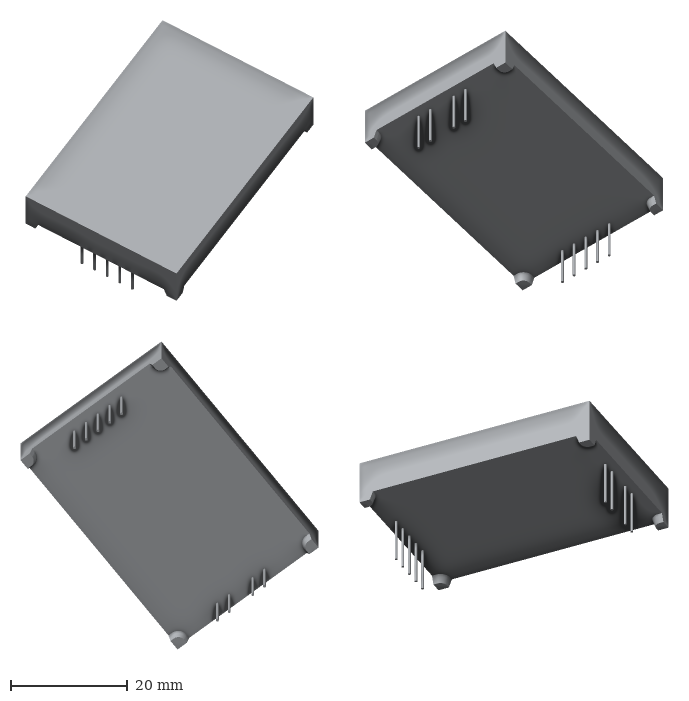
import cadquery as cq
import math

WIDTH = 30.6
LENGTH = 44.0
TOTAL_HEIGHT = 14.3

HOUSING_HEIGHT = 8.0
FOOT_HEIGHT = 1.5
FOOT_ROOT = 2.55
FOOT_TIP = 2.0
FOOT_TIP_RADIUS = 1.25
BLOCK_HEIGHT = HOUSING_HEIGHT - FOOT_HEIGHT

PIN_DIAMETER = 0.5
PIN_PITCH = 2.55
ROW_SPACING = 40.05
FRONT_ROW_PLACES = range(-2, 3)
BACK_ROW_PLACES = (-2, -1, 1, 2)


def make_foot(x_side, y_side):
    """Tapered foot with a rounded inner corner, centred on a housing corner before trimming."""
    taper_angle = math.degrees(math.atan2(FOOT_ROOT - FOOT_TIP, FOOT_HEIGHT))
    return (
        cq.Workplane("XY", origin=(x_side * WIDTH / 2, y_side * LENGTH / 2, -HOUSING_HEIGHT))
        .sketch()
        .rect(2 * FOOT_TIP, 2 * FOOT_TIP)
        .vertices()
        .fillet(FOOT_TIP_RADIUS)
        .finalize()
        .extrude(FOOT_HEIGHT, taper=-taper_angle)
    )


def make_housing():
    """Plain block standing on four corner feet, trimmed flush with its sides."""
    envelope = cq.Workplane("XY", origin=(0, 0, -HOUSING_HEIGHT)).rect(WIDTH, LENGTH).extrude(HOUSING_HEIGHT)
    housing = cq.Workplane("XY", origin=(0, 0, -BLOCK_HEIGHT)).rect(WIDTH, LENGTH).extrude(BLOCK_HEIGHT)
    for x_side in (-1, 1):
        for y_side in (-1, 1):
            foot = make_foot(x_side, y_side).intersect(envelope)
            housing = housing.union(foot)
    return housing


def make_pin(place, y_side):
    """Round pin hanging from the underside of the block."""
    pin_length = TOTAL_HEIGHT - BLOCK_HEIGHT
    return (
        cq.Workplane("XY", origin=(place * PIN_PITCH, y_side * ROW_SPACING / 2, -TOTAL_HEIGHT))
        .circle(PIN_DIAMETER / 2)
        .extrude(pin_length)
    )


housing = make_housing()
front_pins = [make_pin(place, -1).val() for place in FRONT_ROW_PLACES]
back_pins = [make_pin(place, 1).val() for place in BACK_ROW_PLACES]

result = cq.Compound.makeCompound([housing.val(), *front_pins, *back_pins])